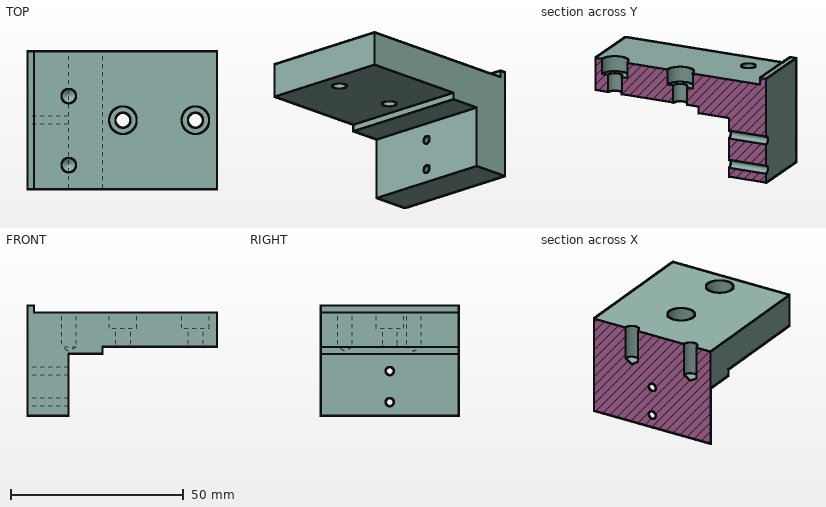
import cadquery as cq
import math

length = 55.0
width = 40.0
height = 32.0

lip_thickness = 2.0
lip_height = 2.0
plate_thickness = 10.0
leg_thickness = 12.0
step_end_x = 21.8
step_height = 2.0
plate_top_z = height - lip_height
plate_bottom_z = plate_top_z - plate_thickness
step_bottom_z = plate_bottom_z - step_height

screw_diameter = 4.3
counterbore_diameter = 8.0
counterbore_depth = 4.6
first_screw_x = 27.7
screw_spacing = 21.0
screw_xs = [first_screw_x, first_screw_x + screw_spacing]

blind_diameter = 4.2
blind_depth = 10.0
drill_tip_angle = 118.0
blind_x = 12.0
blind_ys = [-13.0, 7.0]

leg_hole_diameter = 2.3
lower_leg_hole_z = 4.0
leg_hole_spacing = 9.0
leg_hole_zs = [lower_leg_hole_z, lower_leg_hole_z + leg_hole_spacing]


def make_body():
    """Stepped side profile extruded across the width, centred on Y = 0."""
    outline = [
        (0, 0),
        (leg_thickness, 0),
        (leg_thickness, step_bottom_z),
        (step_end_x, step_bottom_z),
        (step_end_x, plate_bottom_z),
        (length, plate_bottom_z),
        (length, plate_top_z),
        (lip_thickness, plate_top_z),
        (lip_thickness, height),
        (0, height),
    ]
    return cq.Workplane("XZ").polyline(outline).close().extrude(width / 2, both=True)


def cut_screw_holes(body):
    """Counterbored holes on the centreline, entered from the plate top."""
    return (
        body.copyWorkplane(cq.Workplane("XY", origin=(0, 0, plate_top_z)))
        .pushPoints([(x, 0) for x in screw_xs])
        .cboreHole(screw_diameter, counterbore_diameter, counterbore_depth, plate_thickness)
    )


def make_blind_hole(y):
    """Drilled hole: a cylinder ending in a cone left by the drill tip."""
    radius = blind_diameter / 2
    tip_length = radius / math.tan(math.radians(drill_tip_angle / 2))
    half_section = [
        (0, 0),
        (radius, 0),
        (radius, -blind_depth),
        (0, -blind_depth - tip_length),
    ]
    drill = cq.Workplane("XZ").polyline(half_section).close().revolve(360, (0, 0), (0, 1))
    return drill.translate((blind_x, y, plate_top_z))


def make_leg_hole(z):
    """Straight hole along X through the leg."""
    return cq.Workplane("YZ").center(0, z).circle(leg_hole_diameter / 2).extrude(leg_thickness)


result = cut_screw_holes(make_body())
for blind_y in blind_ys:
    result = result.cut(make_blind_hole(blind_y))
for leg_hole_z in leg_hole_zs:
    result = result.cut(make_leg_hole(leg_hole_z))